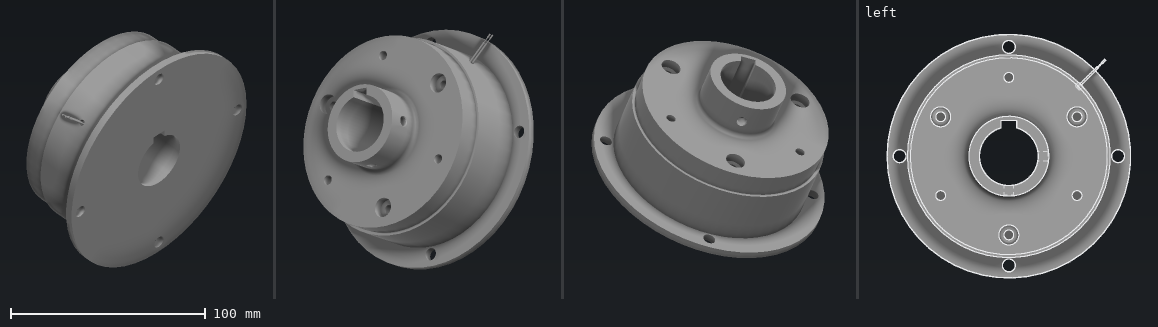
import cadquery as cq
import math

hub_radius = 20.5
hub_length = 20.0
hub_fillet = 2.5
disc_radius = 50.5
disc_length = 12.0
housing_radius = 52.0
flange_radius = 62.5
flange_thickness = 4.0
overall_length = 65.6
disc_end = hub_length + disc_length
flange_start = overall_length - flange_thickness

bore_radius = 15.0
keyway_width = 8.0
keyway_top = 18.2

set_screw_x = hub_length / 2
set_screw_diameter = 5.0
set_screw_mouth_diameter = 6.0

flange_hole_diameter = 6.5
flange_hole_circle = 56.0
disc_hole_circle = 40.4
disc_hole_diameter = 5.0
disc_hole_depth = disc_length
counterbore_diameter = 10.2
counterbore_depth = 5.0

lead_x = 46.6
lead_angle = 45.0
lead_pitch = 2.2
insulation_diameter = 1.0
insulation_end = 64.4
conductor_diameter = 0.5
ferrule_diameter = 0.9
ferrule_start = 67.5
lead_end = 69.9
lead_hole_diameter = lead_pitch + insulation_diameter
lead_hole_depth = 2.5
lead_hole_floor = housing_radius - lead_hole_depth


def cylinder_along_x(radius, start, end):
    return cq.Workplane("YZ").workplane(offset=start).circle(radius).extrude(end - start)


def polar_points(radius, first_angle, count):
    """Evenly spaced (y, z) points; angles run from +Y towards +Z."""
    angles = [math.radians(first_angle + i * 360 / count) for i in range(count)]
    return [(radius * math.cos(a), radius * math.sin(a)) for a in angles]


def make_body():
    fillet_start = hub_length - hub_fillet
    fillet_mid = hub_fillet * (1 - math.sqrt(0.5))
    profile = (
        cq.Workplane("XY")
        .lineTo(0, hub_radius)
        .lineTo(fillet_start, hub_radius)
        .threePointArc(
            (hub_length - fillet_mid, hub_radius + fillet_mid),
            (hub_length, hub_radius + hub_fillet),
        )
        .lineTo(hub_length, disc_radius)
        .lineTo(disc_end, disc_radius)
        .lineTo(disc_end, housing_radius)
        .lineTo(flange_start, housing_radius)
        .lineTo(flange_start, flange_radius)
        .lineTo(overall_length, flange_radius)
        .lineTo(overall_length, 0)
        .close()
    )
    return profile.revolve(360, (0, 0, 0), (1, 0, 0))


def make_bore():
    keyway = (
        cq.Workplane("YZ")
        .center(0, keyway_top / 2)
        .rect(keyway_width, keyway_top)
        .extrude(overall_length)
    )
    return cylinder_along_x(bore_radius, 0, overall_length).union(keyway)


def make_set_screw_hole(turn):
    """Radial hole with a chamfered mouth, turned about X from the -Z direction."""
    hole_radius = set_screw_diameter / 2
    mouth_radius = set_screw_mouth_diameter / 2
    chamfer_start = hub_radius - (mouth_radius - hole_radius)
    profile = (
        cq.Workplane("XZ")
        .lineTo(hole_radius, 0)
        .lineTo(hole_radius, -chamfer_start)
        .lineTo(mouth_radius, -hub_radius)
        .lineTo(0, -hub_radius)
        .close()
    )
    hole = profile.revolve(360, (0, 0, 0), (0, 1, 0)).translate((set_screw_x, 0, 0))
    return hole.rotate((0, 0, 0), (1, 0, 0), turn)


def make_holes(diameter, circle_radius, first_angle, count, start, depth):
    plane = cq.Workplane("YZ").workplane(offset=start)
    points = polar_points(circle_radius, first_angle, count)
    return plane.pushPoints(points).circle(diameter / 2).extrude(depth)


def tilt_to_lead(upright):
    """Swing a feature built along +Z about X towards -Y."""
    return upright.rotate((0, 0, 0), (1, 0, 0), lead_angle)


def make_lead_hole():
    plane = cq.Workplane("XY").workplane(offset=lead_hole_floor).center(lead_x, 0)
    return tilt_to_lead(plane.circle(lead_hole_diameter / 2).extrude(lead_hole_depth))


def make_lead_section(diameter, start, end):
    """One length of both wires."""
    plane = cq.Workplane("XY").workplane(offset=start).center(lead_x, 0)
    points = [(-lead_pitch / 2, 0), (lead_pitch / 2, 0)]
    return tilt_to_lead(plane.pushPoints(points).circle(diameter / 2).extrude(end - start))


def make_leads():
    """Insulated wires, rooted below the hole floor, with bare ends and ferrules."""
    root = lead_hole_floor - insulation_diameter
    insulation = make_lead_section(insulation_diameter, root, insulation_end)
    conductor = make_lead_section(conductor_diameter, root, lead_end)
    ferrule = make_lead_section(ferrule_diameter, ferrule_start, lead_end)
    return insulation.union(conductor).union(ferrule)


flange_holes = make_holes(flange_hole_diameter, flange_hole_circle, 0, 4, flange_start, flange_thickness)
disc_holes = make_holes(disc_hole_diameter, disc_hole_circle, 30, 6, hub_length, disc_hole_depth)
counterbores = make_holes(counterbore_diameter, disc_hole_circle, 30, 3, hub_length, counterbore_depth)

result = make_body().cut(make_bore())
for turn in (0, -90):
    result = result.cut(make_set_screw_hole(turn))
result = result.cut(flange_holes).cut(disc_holes).cut(counterbores)
result = result.cut(make_lead_hole()).union(make_leads())